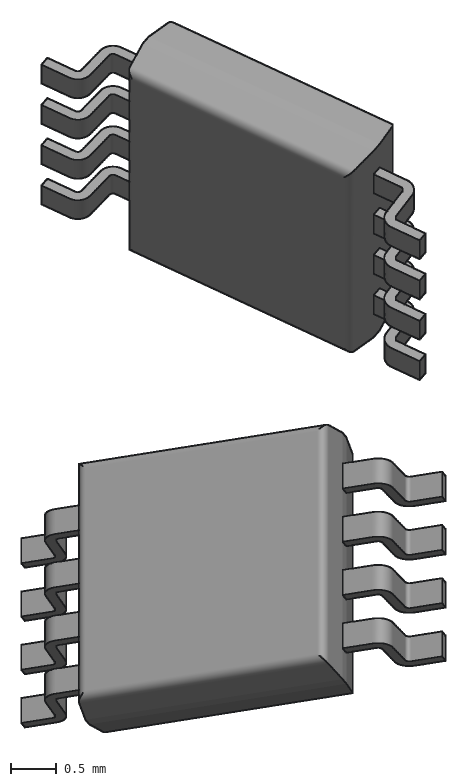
import cadquery as cq
import math

overall_span = 4.91
overall_height = 1.1

body_side = 3.0
body_thickness = 0.95
band_thickness = 0.125
side_taper = 8.0
rim_radius = 0.1

leads_per_row = 4
lead_pitch = 0.65
lead_width = 0.305
lead_thickness = band_thickness
foot_length = 0.365
inner_bend_radius = 0.05
web_lean = 3.0

band_center_y = overall_height - body_thickness / 2
band_top_y = band_center_y + band_thickness / 2
outer_bend_radius = inner_bend_radius + lead_thickness


def make_body_half(direction):
    """Tapered half of the body, from the band to its rounded flat face at +Y or -Y."""
    height = (body_thickness - band_thickness) / 2
    band_face_y = band_center_y + direction * band_thickness / 2
    plane = cq.Plane(origin=(0, band_face_y, 0), xDir=(1, 0, 0), normal=(0, direction, 0))
    half = cq.Workplane(plane).rect(body_side, body_side).extrude(height, taper=side_taper)
    outer_face = ">Y" if direction > 0 else "<Y"
    return half.faces(outer_face).edges().fillet(rim_radius)


def make_body():
    """Square body: a straight band between two tapered halves."""
    band = cq.Workplane("XY").box(body_side, band_thickness, body_side).translate((0, band_center_y, 0))
    return band.union(make_body_half(1), clean=False).union(make_body_half(-1), clean=False)


def circle_point(center, radius, angle):
    """Point on a circle, with the angle in degrees from +X."""
    turn = math.radians(angle)
    return (center[0] + radius * math.cos(turn), center[1] + radius * math.sin(turn))


def make_lead():
    """Lead of the -X row, centred on Z = 0, from its foot to the body's band."""
    foot_end_x = -overall_span / 2
    body_x = -body_side / 2

    lean = math.radians(web_lean)
    lower_center = (foot_end_x + foot_length, outer_bend_radius)
    upper_y = band_top_y - outer_bend_radius
    rise = upper_y - lower_center[1]
    across_web = outer_bend_radius + inner_bend_radius
    run = (across_web + rise * math.sin(lean)) / math.cos(lean)
    upper_center = (lower_center[0] + run, upper_y)

    upper_end = 180 - web_lean
    upper_middle = (90 + upper_end) / 2
    lower_end = -web_lean
    lower_middle = (lower_end - 90) / 2

    outline = (
        cq.Workplane("XY")
        .moveTo(foot_end_x, 0)
        .lineTo(*circle_point(lower_center, outer_bend_radius, -90))
        .threePointArc(
            circle_point(lower_center, outer_bend_radius, lower_middle),
            circle_point(lower_center, outer_bend_radius, lower_end),
        )
        .lineTo(*circle_point(upper_center, inner_bend_radius, upper_end))
        .threePointArc(
            circle_point(upper_center, inner_bend_radius, upper_middle),
            circle_point(upper_center, inner_bend_radius, 90),
        )
        .lineTo(body_x, band_top_y - lead_thickness)
        .lineTo(body_x, band_top_y)
        .lineTo(*circle_point(upper_center, outer_bend_radius, 90))
        .threePointArc(
            circle_point(upper_center, outer_bend_radius, upper_middle),
            circle_point(upper_center, outer_bend_radius, upper_end),
        )
        .lineTo(*circle_point(lower_center, inner_bend_radius, lower_end))
        .threePointArc(
            circle_point(lower_center, inner_bend_radius, lower_middle),
            circle_point(lower_center, inner_bend_radius, -90),
        )
        .lineTo(foot_end_x, lead_thickness)
        .close()
    )
    return outline.extrude(lead_width / 2, both=True)


def make_leads():
    """Two mirrored rows of separate leads, evenly spaced about Z = 0."""
    left_lead = make_lead()
    right_lead = left_lead.mirror("YZ")
    leads = []
    for index in range(leads_per_row):
        z = (index - (leads_per_row - 1) / 2) * lead_pitch
        leads.append(left_lead.translate((0, 0, z)).val())
        leads.append(right_lead.translate((0, 0, z)).val())
    return leads


body = make_body()
leads = make_leads()
result = cq.Compound.makeCompound([body.val(), *leads])